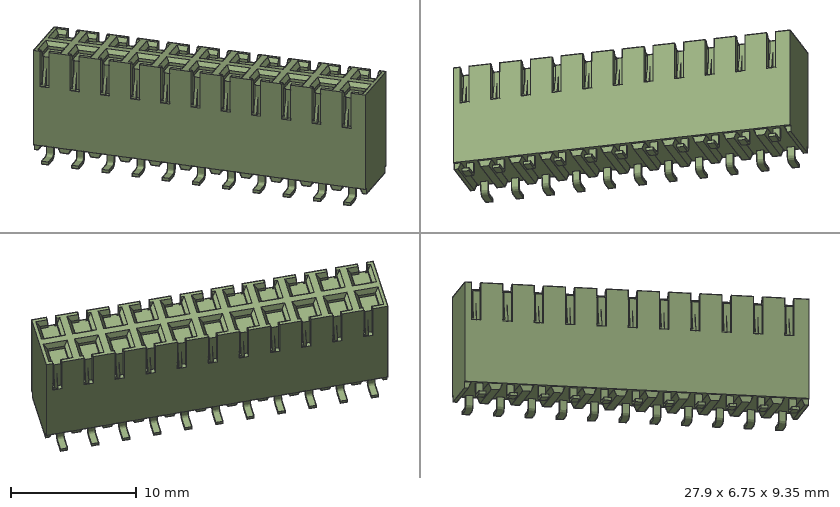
import cadquery as cq


length = 27.9
pitch = 2.55
columns = 11
rows = 2
body_width = rows * pitch
height = 9.35
body_bottom = 1.2
column_places = [(i - (columns - 1) / 2) * pitch for i in range(columns)]

tooth_bottom = 0.7
tooth_width = 4.6
tooth_root = 1.15
tooth_tip = 0.67

mouth = 1.95
throat = 1.4
funnel_depth = 0.33
pocket_depth = 0.6

slot_width = 0.75
slot_offset = 0.33
slot_height = 3.05
slot_depth = 0.4
relief_width = 0.17
relief_depth = 0.53

wedge_base_width = 0.42
wedge_base_height = 0.17
wedge_slope_height = 1.25
wedge_projection = 0.3

lead_width = 0.6
lead_thickness = 0.25
lead_span = 6.75
lead_upright_span = 4.3
bend_inner_radius = 0.25
bend_outer_radius = bend_inner_radius + lead_thickness
lead_embed = 0.15


def box(x_min, x_max, y_min, y_max, z_min, z_max):
    """Axis-aligned box between two opposite corners."""
    size = (x_max - x_min, y_max - y_min, z_max - z_min)
    return cq.Workplane("XY").box(*size, centered=False).translate((x_min, y_min, z_min))


def make_tooth():
    """Tapered tooth running across the housing at X = 0."""
    return (
        cq.Workplane("XZ")
        .moveTo(-tooth_root / 2, body_bottom)
        .lineTo(-tooth_tip / 2, tooth_bottom)
        .lineTo(tooth_tip / 2, tooth_bottom)
        .lineTo(tooth_root / 2, body_bottom)
        .close()
        .extrude(tooth_width / 2, both=True)
    )


def make_pocket():
    """Front-row pocket at X = 0: a square funnel above a short straight throat."""
    centre_y = -pitch / 2
    funnel = (
        cq.Workplane("XY", origin=(0, centre_y, height - funnel_depth))
        .rect(throat, throat)
        .workplane(offset=funnel_depth)
        .rect(mouth, mouth)
        .loft(ruled=True)
    )
    well = cq.Workplane("XY", origin=(0, centre_y, height - pocket_depth)).rect(throat, throat)
    return funnel.union(well.extrude(pocket_depth - funnel_depth))


def make_slot():
    """Front-wall slot, open to the pocket at the top, with a deeper left side and a wedge at its foot."""
    front = -body_width / 2
    left = -slot_offset - slot_width / 2
    floor = height - slot_height
    back = front + slot_depth
    slot = box(left, left + slot_width, front, back, floor, height)
    relief = box(left, left + relief_width, front, front + relief_depth, floor, height)
    throat_edge = -(pitch + throat) / 2
    pocket_opening = box(left, left + slot_width, front, throat_edge, height - pocket_depth, height)

    step_front = back - wedge_projection
    step_top = floor + wedge_base_height
    base = box(left, left + wedge_base_width, step_front, front + relief_depth, floor, step_top)
    slope = (
        cq.Workplane("YZ", origin=(left + relief_width, 0, 0))
        .moveTo(step_front, step_top)
        .lineTo(back, step_top + wedge_slope_height)
        .lineTo(back, step_top)
        .close()
        .extrude(wedge_base_width - relief_width)
    )
    return slot.union(relief).union(pocket_opening).cut(base).cut(slope)


def make_lead():
    """Front-row lead at X = 0, bent outward into a flat foot."""
    tip = -lead_span / 2
    outer = -lead_upright_span / 2
    inner = outer + lead_thickness
    top = body_bottom + lead_embed
    return (
        cq.Workplane("YZ")
        .moveTo(tip, 0)
        .lineTo(inner - bend_outer_radius, 0)
        .radiusArc((inner, bend_outer_radius), -bend_outer_radius)
        .lineTo(inner, top)
        .lineTo(outer, top)
        .lineTo(outer, bend_outer_radius)
        .radiusArc((outer - bend_inner_radius, lead_thickness), bend_inner_radius)
        .lineTo(tip, lead_thickness)
        .close()
        .extrude(lead_width / 2, both=True)
    )


def in_both_rows(feature):
    """Copies of a front-row feature in every column, then turned half a turn for the back row."""
    front_row = [feature.val().translate(cq.Vector(x, 0, 0)) for x in column_places]
    back_row = [shape.rotate(cq.Vector(0, 0, 0), cq.Vector(0, 0, 1), 180) for shape in front_row]
    return front_row + back_row


def joined(shapes):
    """Compound of separate shapes as one workplane object."""
    return cq.Workplane(cq.Compound.makeCompound(shapes))


body = box(-length / 2, length / 2, -body_width / 2, body_width / 2, body_bottom, height)

tooth = make_tooth().val()
tooth_places = [(i - columns / 2) * pitch for i in range(columns + 1)]
end_trim = box(-length / 2, length / 2, -body_width / 2, body_width / 2, tooth_bottom, body_bottom)
teeth = joined([tooth.translate(cq.Vector(x, 0, 0)) for x in tooth_places]).intersect(end_trim)

cavities = in_both_rows(make_pocket().union(make_slot()))
leads = in_both_rows(make_lead())

result = body.union(teeth).cut(joined(cavities)).union(joined(leads))